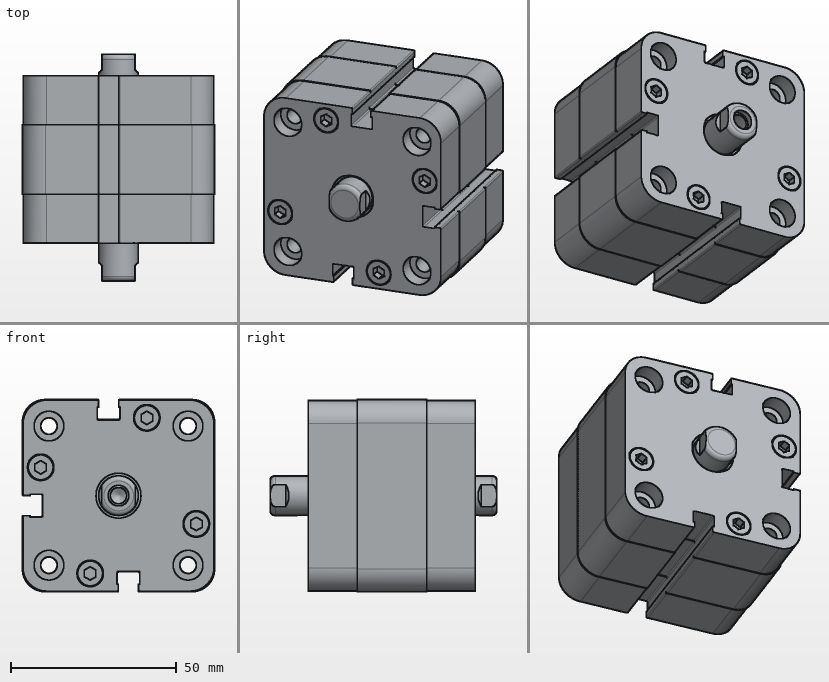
import cadquery as cq
import math

barrel_width = 58.1
cap_width = 57.6
corner_radius = 7.0
housing_length = 50.5
barrel_length = 21.0
cap_length = (housing_length - barrel_length) / 2

slot_neck_width = 6.0
slot_wide_width = 6.8
slot_center_offset = 3.0
slot_lip_height = 26.7
slot_depth = 6.0
slot_edge_radius = 0.4
slot_turns = (0, 90, 180)

mount_spacing = 42.0
mount_through_diameter = 4.92
mount_bore_diameter = 9.0
mount_bore_depth = 5.5

screw_circle_radius = 25.0
screw_angle = 20.0
screw_recess_diameter = 8.0
screw_head_diameter = 7.5
screw_head_height = 4.0
hex_across_flats = 3.5
hex_depth = 3.0

rod_diameter = 12.0
rod_front_length = 11.5
rod_back_length = 6.5
rod_end_fillet = 1.5
rod_recess_diameter = 13.6
rod_recess_depth = 1.0
flat_across = 10.0
flat_length = 4.7
flat_runout = (rod_diameter - flat_across) / 2
rod_socket_diameter = 6.25
rod_socket_depth = 2.0
rod_drill_diameter = 4.92
rod_drill_depth = 10.0
rod_drill_point_angle = 118.0

rod_front_y = -rod_front_length
rod_back_y = housing_length + rod_back_length
housing_middle_y = housing_length / 2


def cylinder(diameter, y_start, length, x=0.0, z=0.0):
    """Round bar along +Y, starting at y_start."""
    return cq.Workplane(cq.Solid.makeCylinder(
        diameter / 2, length, cq.Vector(x, y_start, z), cq.Vector(0, 1, 0)))


def turn_about_y(shape, angle):
    return shape.rotate((0, 0, 0), (0, 1, 0), angle)


def back_copy(shape):
    """The same shape placed at the back end of the housing."""
    return shape.mirror("XZ", (0, housing_middle_y, 0))


def rounded_block(width, y_start, length):
    block = cq.Workplane("XY").box(width, length, width)
    return block.edges("|Y").fillet(corner_radius).translate((0, y_start + length / 2, 0))


def housing():
    front_cap = rounded_block(cap_width, 0, cap_length)
    barrel = rounded_block(barrel_width, cap_length, barrel_length)
    return front_cap.union(barrel).union(back_copy(front_cap))


def slot_piece(width, y_start, length):
    """T-slot cutter for the top side of one housing block of the given width."""
    face = width / 2
    floor = face - slot_depth
    half_neck = slot_neck_width / 2
    half_wide = slot_wide_width / 2
    radius = slot_edge_radius
    half = (
        cq.Workplane("XZ")
        .moveTo(0, floor)
        .lineTo(half_wide - radius, floor)
        .radiusArc((half_wide, floor + radius), -radius)
        .lineTo(half_wide, slot_lip_height)
        .lineTo(half_neck, slot_lip_height)
        .lineTo(half_neck, face - radius)
        .radiusArc((half_neck + radius, face), radius)
        .lineTo(0, face)
        .close()
        .extrude(-length)
    )
    piece = half.union(half.mirror("YZ"))
    return piece.translate((-slot_center_offset, y_start, 0))


def top_slot():
    """Full-length T-slot cutter, left of the middle of the top side."""
    front_piece = slot_piece(cap_width, 0, cap_length)
    barrel_piece = slot_piece(barrel_width, cap_length, barrel_length)
    return front_piece.union(barrel_piece).union(back_copy(front_piece))


def mounting_holes():
    """Through holes with a wide bore at both ends, one per corner."""
    holes = cq.Workplane()
    for x in (-mount_spacing / 2, mount_spacing / 2):
        for z in (-mount_spacing / 2, mount_spacing / 2):
            bore = cylinder(mount_bore_diameter, 0, mount_bore_depth, x, z)
            through = cylinder(mount_through_diameter, 0, housing_length, x, z)
            holes = holes.add(through.union(bore).union(back_copy(bore)))
    return holes


def screw_gap(angle):
    """Cutter that leaves one flush socket-head screw standing in its round recess."""
    x = screw_circle_radius * math.sin(math.radians(angle))
    z = screw_circle_radius * math.cos(math.radians(angle))
    recess = cylinder(screw_recess_diameter, 0, screw_head_height, x, z)
    head = cylinder(screw_head_diameter, 0, screw_head_height, x, z)
    hex_corners = hex_across_flats / math.cos(math.radians(30))
    hexagon = cq.Workplane("XZ").polygon(6, hex_corners).extrude(-hex_depth)
    hexagon = turn_about_y(hexagon, 30).translate((x, 0, z))
    return recess.cut(head).union(hexagon)


def rod_end_flats(y_end, inward):
    """Two wrench flats with sloped run-outs; inward is the Y direction into the rod."""
    half_flat = flat_across / 2
    half_rod = rod_diameter / 2
    y_flat = y_end + inward * flat_length
    y_runout = y_flat + inward * flat_runout
    profile = [(half_flat, y_end), (half_rod, y_end), (half_rod, y_runout), (half_flat, y_flat)]
    cutter = cq.Workplane("XY").polyline(profile).close().extrude(half_rod, both=True)
    return cutter.union(cutter.mirror("YZ"))


def rod_end_socket():
    """Stepped blind hole with a drill point in the front end of the rod."""
    drill_radius = rod_drill_diameter / 2
    socket_radius = rod_socket_diameter / 2
    point_length = drill_radius / math.tan(math.radians(rod_drill_point_angle / 2))
    y_step = rod_front_y + rod_socket_depth
    y_drill = rod_front_y + rod_drill_depth
    profile = [
        (0, rod_front_y),
        (socket_radius, rod_front_y),
        (socket_radius, y_step),
        (drill_radius, y_step),
        (drill_radius, y_drill),
        (0, y_drill + point_length),
    ]
    return cq.Workplane("XY").polyline(profile).close().revolve(360, (0, 0, 0), (0, 1, 0))


def piston_rod():
    rod = cylinder(rod_diameter, rod_front_y, rod_back_y - rod_front_y)
    rod = rod.faces("<Y or >Y").edges().fillet(rod_end_fillet)
    rod = rod.cut(rod_end_flats(rod_front_y, 1)).cut(rod_end_flats(rod_back_y, -1))
    return rod.cut(rod_end_socket())


result = housing()

for angle in slot_turns:
    result = result.cut(turn_about_y(top_slot(), -angle))

for hole in mounting_holes().vals():
    result = result.cut(hole)

for quarter_turn in range(0, 360, 90):
    gap = screw_gap(screw_angle + quarter_turn)
    result = result.cut(gap).cut(back_copy(gap))

rod_recess = cylinder(rod_recess_diameter, 0, rod_recess_depth)
result = result.cut(rod_recess).cut(back_copy(rod_recess))
result = result.union(piston_rod())